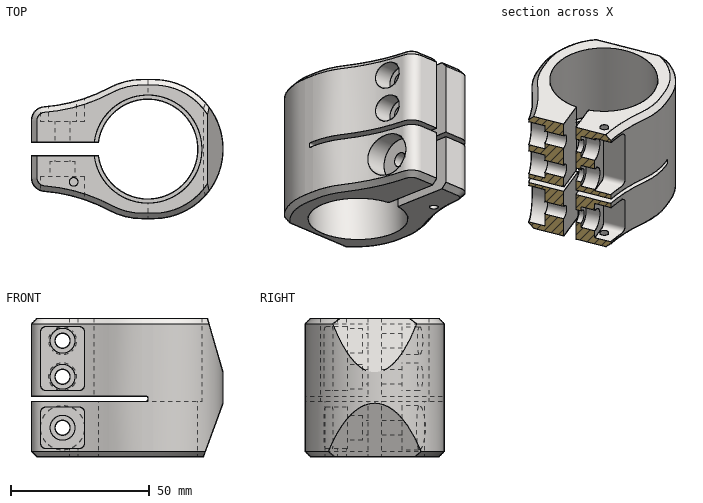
import cadquery as cq
import math


height = 50.0
outer_radius = 25.135
centre_offset = 2.0
nose_x = centre_offset + outer_radius
ear_x = nose_x - 69.15
neck_angle = math.radians(28.2)
neck_radius = 59.5
corner_radius = 5.0
edge_chamfer = 2.0

upper_bore_radius = 19.5
lower_bore_radius = 18.0
ear_gap = 4.8
slit_bottom = 20.05
slit_top = 21.85
slit_end_radius = 0.6

nose_flat_bottom = 19.35
nose_flat_top = 30.5
nose_base_x = 20.05
nose_crown_x = 21.5

screw_x = -30.8
screw_hole = 5.3
head_bore = 9.0
head_seat_y = -4.5
recess_seat_y = 9.9
screws = [(10.5, 16.0), (28.9, 10.0), (41.9, 10.0)]

pocket_left = -38.7
pocket_right = -22.8
pocket_floor_y = -9.9
pocket_corner_radius = 2.0
pocket_heights = [(3.0, 18.0), (23.9, 47.0)]

pin_diameter = 3.1
pin_x = -26.75
pin_y = -11.8


def body():
    """Teardrop outline extruded to full height, chamfered at both ends."""
    centre_distance = outer_radius + neck_radius
    neck_centre_x = -centre_offset - centre_distance * math.sin(neck_angle)
    neck_centre_y = centre_distance * math.cos(neck_angle)
    corner_x = ear_x + corner_radius
    tangent_distance = neck_radius + corner_radius
    corner_slope = math.asin((corner_x - neck_centre_x) / tangent_distance)
    corner_y = neck_centre_y - tangent_distance * math.cos(corner_slope)

    def outer_point(angle):
        return (-centre_offset - outer_radius * math.sin(angle), outer_radius * math.cos(angle))

    def neck_point(angle):
        return (
            neck_centre_x + neck_radius * math.sin(angle),
            neck_centre_y - neck_radius * math.cos(angle),
        )

    def corner_point(angle):
        return (corner_x - corner_radius * math.sin(angle), corner_y + corner_radius * math.cos(angle))

    def mirrored(point):
        return (point[0], -point[1])

    outer_middle = outer_point(neck_angle / 2)
    outer_end = outer_point(neck_angle)
    neck_middle = neck_point((neck_angle + corner_slope) / 2)
    neck_end = neck_point(corner_slope)
    ear_corner_middle = corner_point((math.pi / 2 + corner_slope) / 2)
    ear_corner_end = corner_point(math.pi / 2)

    outline = (
        cq.Workplane("XY")
        .moveTo(centre_offset, outer_radius)
        .lineTo(-centre_offset, outer_radius)
        .threePointArc(outer_middle, outer_end)
        .threePointArc(neck_middle, neck_end)
        .threePointArc(ear_corner_middle, ear_corner_end)
        .lineTo(*mirrored(ear_corner_end))
        .threePointArc(mirrored(ear_corner_middle), mirrored(neck_end))
        .threePointArc(mirrored(neck_middle), mirrored(outer_end))
        .threePointArc(mirrored(outer_middle), (-centre_offset, -outer_radius))
        .lineTo(centre_offset, -outer_radius)
        .threePointArc((nose_x, 0), (centre_offset, outer_radius))
        .close()
    )
    return outline.extrude(height).faces("<Z or >Z").chamfer(edge_chamfer)


def box_between(x_range, y_range, z_range):
    """Axis-aligned box spanning the given ranges."""
    sizes = [end - start for start, end in (x_range, y_range, z_range)]
    corner = (x_range[0], y_range[0], z_range[0])
    return cq.Workplane("XY").box(*sizes, centered=False).translate(corner)


def z_cylinder(radius, bottom, top, x=0, y=0):
    """Vertical cylinder between two heights."""
    return cq.Workplane("XY", origin=(x, y, bottom)).circle(radius).extrude(top - bottom)


def y_cylinder(diameter, z, y_start, y_end):
    """Cylinder along a clamping screw axis."""
    plane = cq.Plane(origin=(screw_x, y_start, z), xDir=(1, 0, 0), normal=(0, 1, 0))
    return cq.Workplane(plane).circle(diameter / 2).extrude(y_end - y_start)


def nose_slopes():
    """Wedges removed above and below the vertical flat of the nose."""
    upper = [(nose_x, nose_flat_top), (nose_crown_x, height), (nose_x, height)]
    lower = [(nose_x, nose_flat_bottom), (nose_base_x, 0), (nose_x, 0)]
    wedges = cq.Workplane("XZ").polyline(upper).close().polyline(lower).close()
    return wedges.extrude(outer_radius, both=True)


def bore():
    """Stepped bore, wider above its seat at the bottom of the slit."""
    lower = z_cylinder(lower_bore_radius, 0, slit_bottom)
    return lower.union(z_cylinder(upper_bore_radius, slit_bottom, height))


def ear_split():
    """Vertical gap between the two ears, running into the bore."""
    return box_between((ear_x, 0), (-ear_gap / 2, ear_gap / 2), (0, height))


def cross_slit():
    """Horizontal slit from the ears to the bore axis, with rounded end corners."""
    slit = box_between((ear_x, 0), (-outer_radius, outer_radius), (slit_bottom, slit_top))
    return slit.edges(">X and |Y").fillet(slit_end_radius)


def ear_pocket(bottom, top):
    """Rounded rectangular pocket in the -Y ear."""
    pocket = box_between((pocket_left, pocket_right), (-outer_radius, pocket_floor_y), (bottom, top))
    return pocket.edges("|Y").fillet(pocket_corner_radius)


def screw_cut(z, recess_diameter):
    """Clearance hole, head counterbore on -Y and nut recess on +Y."""
    hole = y_cylinder(screw_hole, z, -outer_radius, outer_radius)
    head = y_cylinder(head_bore, z, -outer_radius, head_seat_y)
    recess = y_cylinder(recess_diameter, z, recess_seat_y, outer_radius)
    return hole.union(head).union(recess)


def pin_holes():
    """Pin holes from the base and the top into the nearest pocket."""
    lowest_pocket, highest_pocket = pocket_heights
    lower = z_cylinder(pin_diameter / 2, 0, lowest_pocket[1], pin_x, pin_y)
    upper = z_cylinder(pin_diameter / 2, highest_pocket[0], height, pin_x, pin_y)
    return lower.union(upper)


result = body().cut(nose_slopes()).cut(bore()).cut(ear_split()).cut(cross_slit())
for pocket_bottom, pocket_top in pocket_heights:
    result = result.cut(ear_pocket(pocket_bottom, pocket_top))
for screw_z, recess_diameter in screws:
    result = result.cut(screw_cut(screw_z, recess_diameter))
result = result.cut(pin_holes())